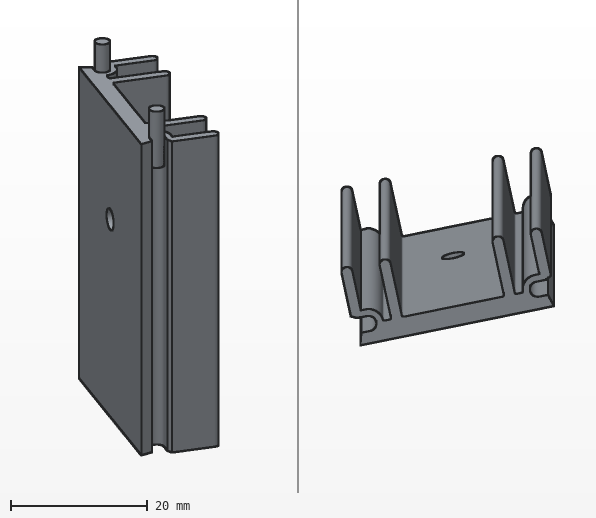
import cadquery as cq
import math

overall_width = 30.0
overall_depth = 12.0
overall_height = 54.5
pin_protrusion = 4.5
body_height = overall_height - pin_protrusion

floor_y = 2.95
base_half_width = 14.5
lip_half_width = 13.95
fin_thickness = 1.65
tip_radius = 0.79
inner_fin_center = 8.45
root_fillet = 0.25

groove_center_x = 12.65
groove_center_y = 3.0
groove_radius = 1.15
wrap_radius = 2.2
fin_heel_y = 4.6
heel_half_width = 14.15

pin_length = 2 * pin_protrusion
hole_diameter = 3.25
hole_z = 31.7

outer_x = overall_width / 2
fin_inside_x = outer_x - fin_thickness
groove_bottom_y = groove_center_y - groove_radius
groove_top_y = groove_center_y + groove_radius


def extrude_body(sketch):
    return sketch.close().extrude(body_height)


def make_base():
    """Plate with tapered sides, reaching up to the fin floor and the groove lips."""
    return extrude_body(
        cq.Workplane("XY").polyline([
            (-base_half_width, 0),
            (base_half_width, 0),
            (lip_half_width, groove_bottom_y),
            (groove_center_x, groove_bottom_y),
            (groove_center_x, floor_y),
            (-groove_center_x, floor_y),
            (-groove_center_x, groove_bottom_y),
            (-lip_half_width, groove_bottom_y),
        ])
    )


def make_inner_fin():
    fin = (
        cq.Workplane("XY")
        .center(inner_fin_center, overall_depth / 2)
        .rect(fin_thickness, overall_depth)
        .extrude(body_height)
    )
    return fin.edges("|Z and >Y").fillet(tip_radius)


def make_outer_fin():
    """Outer fin on a curved arm that wraps over the pin groove."""
    diagonal = wrap_radius * math.sqrt(0.5)
    fin = extrude_body(
        cq.Workplane("XY")
        .moveTo(groove_center_x, groove_bottom_y)
        .lineTo(groove_center_x, groove_top_y)
        .lineTo(heel_half_width, groove_top_y)
        .lineTo(outer_x, fin_heel_y)
        .lineTo(outer_x, overall_depth)
        .lineTo(fin_inside_x, overall_depth)
        .lineTo(fin_inside_x, groove_center_y + wrap_radius)
        .lineTo(groove_center_x, groove_center_y + wrap_radius)
        .threePointArc(
            (groove_center_x - diagonal, groove_center_y + diagonal),
            (groove_center_x - wrap_radius, groove_center_y),
        )
        .lineTo(groove_center_x - wrap_radius, groove_bottom_y)
    )
    return fin.edges("|Z and >Y").fillet(tip_radius)


def make_cylinder(radius, bottom_z, length):
    return (
        cq.Workplane("XY", origin=(groove_center_x, groove_center_y, bottom_z))
        .circle(radius)
        .extrude(length)
    )


def mirrored_pair(shape):
    return shape.union(shape.mirror("YZ"))


body = make_base()
for fin in (make_inner_fin(), make_outer_fin()):
    body = body.union(mirrored_pair(fin))
body = body.clean()

floor_corners = cq.selectors.BoxSelector(
    (-groove_center_x, floor_y - root_fillet, 0),
    (groove_center_x, floor_y + root_fillet, body_height),
)
inner_corners = body.edges("|Z").edges(floor_corners)
body = inner_corners.fillet(root_fillet)

body = body.cut(mirrored_pair(make_cylinder(groove_radius, 0, body_height)))

hole = (
    cq.Workplane("XZ", origin=(0, 0, hole_z))
    .circle(hole_diameter / 2)
    .extrude(-overall_depth)
)
body = body.cut(hole)

pins = mirrored_pair(make_cylinder(groove_radius, overall_height - pin_length, pin_length))
result = cq.Workplane("XY").newObject([body.union(pins).val()])